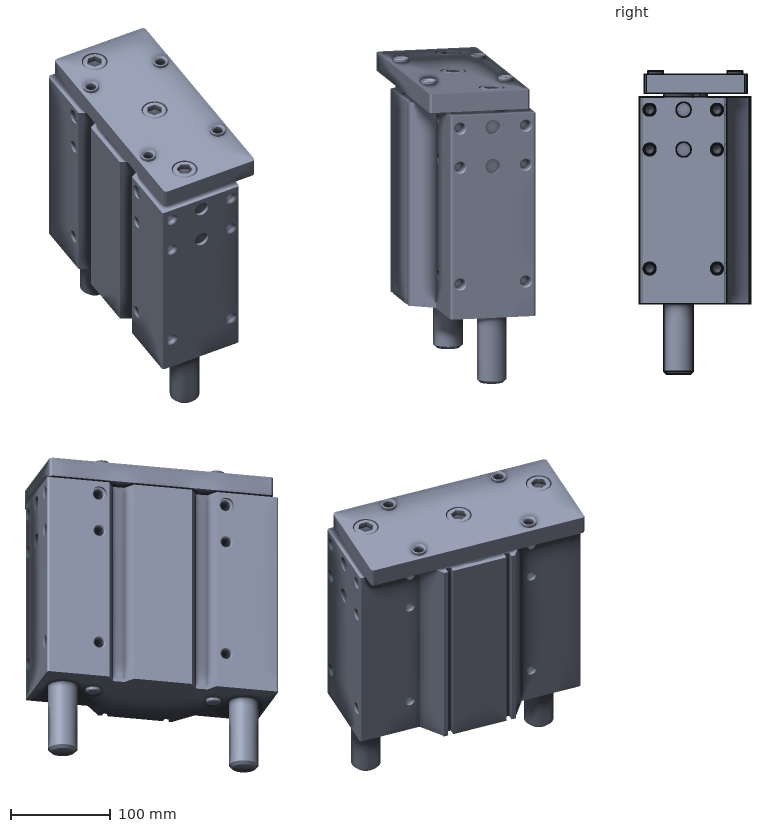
import cadquery as cq
import math


housing_width = 240.0
housing_depth = 112.0
housing_bottom = 70.5
housing_top = 278.5
corner_radius = 2.5

groove_inner = 30.2
groove_outer = 55.8
groove_depth = 12.0
groove_side_angle = 30
groove_run = groove_depth * math.tan(math.radians(groove_side_angle))

flank_depth = 87.8
back_foot = 55.5
back_crest = 39.0
back_edge = 1.2
slot_inner = 29.0
slot_outer = 34.5
slot_depth = 6.5

hole_levels = (106.0, 225.5, 265.5)
hole_diameter = 10.0
hole_mouth = 12.5
hole_mouth_depth = (hole_mouth - hole_diameter) / 2
front_hole_x = 66.0
counterbore_diameter = 15.0
counterbore_depth = 3.0
side_hole_y = (10.5, 78.0)
side_hole_depth = 18.3
drill_tip_slope = 31
drill_tip_length = hole_diameter / 2 * math.tan(math.radians(drill_tip_slope))

port_levels = hole_levels[1:]
port_diameter = 15.0
port_y = 44.5
port_depth = 3.7

recess_diameter = 100.0
recess_mouth = 102.0
recess_chamfer = (recess_mouth - recess_diameter) / 2
recess_depth = 3.0

guide_x = 94.0
guide_y = 39.3
guide_diameter = 30.0
guide_chamfer = 3.0
piston_y = 56.5
piston_diameter = 24.0
piston_flats = 22.0
piston_insertion = 61.0
piston_bottom = housing_top - piston_insertion

boss_x = 62.5
boss_y = guide_y
boss_diameter = 15.0
boss_height = 3.5
boss_chamfer = 1.0

plate_width = 231.7
plate_front = 5.0
plate_back = 108.2
plate_bottom = 282.0
plate_top = 301.2
plate_chamfer = 2.0

collar_x = 59.8
collar_y = (16.5, 96.0)
collar_diameter = 15.5
collar_top = 305.0
collar_chamfer = 0.5
collar_mouth = 13.7
collar_mouth_depth = (collar_mouth - hole_diameter) / 2

head_diameter = 24.0
head_height = 16.0
head_chamfer = 1.0
head_recess = 26.0
head_bottom = plate_top - head_height
socket_flats = 14.0
socket_depth = 6.0
shank_diameter = 16.0
shank_insertion = 24.5
shank_bottom = plate_bottom - shank_insertion

UP = (0, 0, 1)
DOWN = (0, 0, -1)
BACKWARD = (0, 1, 0)
SIDES = (-1, 1)


def cylinder(start, direction, diameter, length):
    return cq.Workplane(
        cq.Solid.makeCylinder(diameter / 2, length, cq.Vector(*start), cq.Vector(*direction))
    )


def cone(start, direction, start_diameter, end_diameter, length):
    return cq.Workplane(
        cq.Solid.makeCone(
            start_diameter / 2, end_diameter / 2, length, cq.Vector(*start), cq.Vector(*direction)
        )
    )


def column(x, y, bottom, top, diameter):
    return cylinder((x, y, bottom), UP, diameter, top - bottom)


def housing_block():
    right_half = [
        (groove_inner, 0),
        (groove_inner + groove_run, groove_depth),
        (groove_outer - groove_run, groove_depth),
        (groove_outer, 0),
        (housing_width / 2, 0),
        (housing_width / 2, flank_depth),
        (back_foot, flank_depth),
        (back_crest, housing_depth - back_edge),
        (back_crest, housing_depth),
        (slot_outer, housing_depth),
        (slot_outer, housing_depth - slot_depth),
        (slot_inner, housing_depth - slot_depth),
        (slot_inner, housing_depth),
    ]
    left_half = [(-x, y) for x, y in reversed(right_half)]
    block = (
        cq.Workplane("XY", (0, 0, housing_bottom))
        .polyline(right_half + left_half)
        .close()
        .extrude(housing_top - housing_bottom)
    )
    return block.edges("|Z and (<X or >X)").fillet(corner_radius)


def hole_mouth_cone(start, direction):
    return cone(start, direction, hole_mouth, hole_diameter, hole_mouth_depth)


def cut_front_holes(body, side):
    """Through holes from front to back; only the top one has a counterbore."""
    x = side * front_hole_x
    for z in hole_levels:
        body = body.cut(cylinder((x, 0, z), BACKWARD, hole_diameter, housing_depth))
        body = body.cut(hole_mouth_cone((x, 0, z), BACKWARD))
    top = hole_levels[-1]
    body = body.cut(cylinder((x, 0, top), BACKWARD, counterbore_diameter, counterbore_depth))
    return body.cut(hole_mouth_cone((x, counterbore_depth, top), BACKWARD))


def cut_side_holes(body, side):
    """Blind holes with drill tips, and the flat-bottomed air ports."""
    face_x = side * housing_width / 2
    tip_x = face_x - side * side_hole_depth
    inward = (-side, 0, 0)
    for z in hole_levels:
        for y in side_hole_y:
            body = body.cut(cylinder((face_x, y, z), inward, hole_diameter, side_hole_depth))
            body = body.cut(hole_mouth_cone((face_x, y, z), inward))
            body = body.cut(cone((tip_x, y, z), inward, hole_diameter, 0, drill_tip_length))
    for z in port_levels:
        body = body.cut(cylinder((face_x, port_y, z), inward, port_diameter, port_depth))
    return body


def cut_rod_bores(body):
    """Guide bores right through, and the piston rod bore below its chamfered recess."""
    for x, y in guide_places:
        body = body.cut(column(x, y, housing_bottom, housing_top, guide_diameter))
    body = body.cut(column(0, piston_y, housing_top - recess_depth, housing_top, recess_diameter))
    body = body.cut(
        cone((0, piston_y, housing_top), DOWN, recess_mouth, recess_diameter, recess_chamfer)
    )
    return body.cut(column(0, piston_y, piston_bottom, housing_top, piston_diameter))


def make_boss(side):
    boss = column(side * boss_x, boss_y, housing_bottom - boss_height, housing_bottom, boss_diameter)
    return boss.faces("<Z").chamfer(boss_chamfer)


def make_housing():
    body = housing_block()
    for side in SIDES:
        body = body.union(make_boss(side))
        body = cut_front_holes(body, side)
        body = cut_side_holes(body, side)
    return cut_rod_bores(body)


def add_collar(plate, x, y):
    """A raised collar with a countersunk hole through it and the plate."""
    collar = column(x, y, plate_top, collar_top, collar_diameter)
    plate = plate.union(collar.faces(">Z").chamfer(collar_chamfer))
    plate = plate.cut(column(x, y, plate_bottom, collar_top, hole_diameter))
    return plate.cut(cone((x, y, collar_top), DOWN, collar_mouth, hole_diameter, collar_mouth_depth))


def make_plate():
    plate = (
        cq.Workplane("XY", (0, (plate_front + plate_back) / 2, plate_bottom))
        .rect(plate_width, plate_back - plate_front)
        .extrude(plate_top - plate_bottom)
        .edges("|Z")
        .chamfer(plate_chamfer)
    )
    for x in (-collar_x, collar_x):
        for y in collar_y:
            plate = add_collar(plate, x, y)
    for x, y in rod_places:
        plate = plate.cut(column(x, y, plate_bottom, plate_top, shank_diameter))
        plate = plate.cut(column(x, y, head_bottom, plate_top, head_recess))
    return plate


def make_rod(x, y, bottom, diameter):
    """A rod up to the underside of the plate, with a hole for its screw."""
    rod = column(x, y, bottom, plate_bottom, diameter)
    return rod.cut(column(x, y, shank_bottom, plate_bottom, shank_diameter))


def make_guide_rod(x, y):
    return make_rod(x, y, 0, guide_diameter).faces("<Z").chamfer(guide_chamfer)


def make_piston_rod():
    """The piston rod, with two wrench flats between housing and plate."""
    rod = make_rod(0, piston_y, piston_bottom, piston_diameter)
    between_flats = (
        cq.Workplane("XY", (0, piston_y, housing_top))
        .rect(piston_flats, piston_diameter)
        .extrude(plate_bottom - housing_top)
    )
    outside_flats = column(0, piston_y, housing_top, plate_bottom, 2 * piston_diameter).cut(between_flats)
    return rod.cut(outside_flats)


def make_screw(x, y, socket_angle):
    """A socket head screw; at a socket angle of 0 two socket corners lie along Y."""
    head = column(x, y, head_bottom, plate_top, head_diameter).faces(">Z").chamfer(head_chamfer)
    screw = head.union(column(x, y, shank_bottom, head_bottom, shank_diameter))
    socket = (
        cq.Workplane("XY")
        .polygon(6, socket_flats, circumscribed=True)
        .extrude(socket_depth)
        .rotate((0, 0, 0), UP, socket_angle)
        .translate((x, y, plate_top - socket_depth))
    )
    return screw.cut(socket)


left_guide = (-guide_x, guide_y)
right_guide = (guide_x, guide_y)
piston_place = (0, piston_y)
guide_places = (left_guide, right_guide)
rod_places = (*guide_places, piston_place)
socket_angles = {left_guide: 0, right_guide: 30, piston_place: 0}

housing = make_housing()
plate = make_plate()
piston_rod = make_piston_rod()
guide_rods = [make_guide_rod(x, y) for x, y in guide_places]
screws = [make_screw(*place, socket_angles[place]) for place in rod_places]

result = cq.Compound.makeCompound(
    [
        housing.val(),
        plate.val(),
        piston_rod.val(),
        *[rod.val() for rod in guide_rods],
        *[screw.val() for screw in screws],
    ]
)